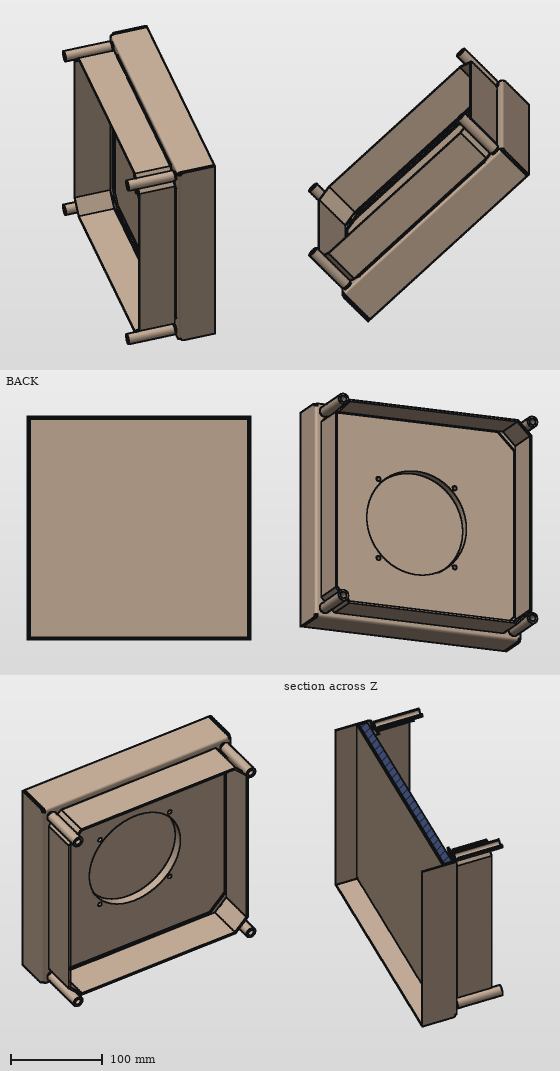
import cadquery as cq

case_size = 243.0
case_depth = 42.0
total_depth = 97.0
sheet = 2.0
bend_radius = 3.0

collar_size = 231.3
collar_corner = 16.0
collar_wall = 2.24
collar_gap = 2.0
collar_depth = 40.5

opening_size = 226.7
opening_corner = 19.0

board_front = 5.0
board_thickness = 10.5
port_diameter = 117.5
screw_diameter = 4.9
screw_pitch = 90.0

standoff_pitch = 223.0
standoff_diameter = 12.0
standoff_bore = 7.0
neck_diameter = 9.2

flat_size = case_size - 2 * bend_radius
standoff_length = total_depth - case_depth - collar_gap
corner_signs = [(sx, sz) for sx in (-1, 1) for sz in (-1, 1)]


def block(width, height, y_start, y_end):
    """Box centred on the Y axis, between two Y levels."""
    depth = y_end - y_start
    return cq.Workplane("XY").box(width, depth, height).translate((0, (y_start + y_end) / 2, 0))


def octagon(size, corner, y_start, y_end):
    """Square block with its four corners cut at 45 degrees."""
    return block(size, size, y_start, y_end).edges("|Y").chamfer(corner)


def rod(diameter, x, z, y_start, y_end):
    """Round rod along Y."""
    profile = cq.Workplane("XZ", origin=(x, y_start, z)).circle(diameter / 2)
    return profile.extrude(y_start - y_end)


def corner_points(pitch):
    """Four points of a square pattern, as (x, z)."""
    return [(sx * pitch / 2, sz * pitch / 2) for sx, sz in corner_signs]


def bent_channel():
    """Front sheet with its top and bottom flanges bent back, between the corner slits."""
    outside = block(flat_size, case_size, 0, case_depth)
    outside = outside.edges("|X and <Y").fillet(bend_radius)
    inside = block(flat_size, case_size - 2 * sheet, sheet, case_depth)
    inside = inside.edges("|X and <Y").fillet(bend_radius - sheet)
    return outside.cut(inside)


def corner_tabs():
    """Ends of the side flanges, reaching past the bends to the full height with rounded front corners."""
    tabs = block(case_size, case_size, bend_radius, case_depth)
    tabs = tabs.edges("|X and <Y").fillet(bend_radius)
    tabs = tabs.cut(block(case_size - 2 * sheet, case_size, bend_radius, case_depth))
    return tabs.cut(block(case_size, flat_size, bend_radius, case_depth))


def make_case():
    """Sheet enclosure with four bent flanges, a large opening and four standoff holes."""
    channel = bent_channel()
    side_channel = channel.rotate((0, 0, 0), (0, 1, 0), 90)
    case = channel.union(side_channel).union(corner_tabs())
    case = case.cut(octagon(opening_size, opening_corner, 0, sheet))
    for x, z in corner_points(standoff_pitch):
        case = case.cut(rod(neck_diameter, x, z, 0, sheet))
    return case


def make_collar():
    """Octagonal wall standing in front of the enclosure, open at both ends."""
    y_back = -collar_gap
    y_front = y_back - collar_depth
    inner_size = collar_size - 2 * collar_wall
    inner_corner = collar_corner - (2 - 2**0.5) * collar_wall
    collar = octagon(collar_size, collar_corner, y_front, y_back)
    return collar.cut(octagon(inner_size, inner_corner, y_front, y_back))


def make_board():
    """Thick board behind the opening, with a round port and four screw holes."""
    y_back = board_front + board_thickness
    board = block(flat_size, flat_size, board_front, y_back)
    board = board.cut(rod(port_diameter, 0, 0, board_front, y_back))
    for x, z in corner_points(screw_pitch):
        board = board.cut(rod(screw_diameter, x, z, board_front, y_back))
    return board


def make_back_panel():
    """Plain panel closing the port from behind."""
    y_front = board_front + board_thickness
    return block(flat_size, flat_size, y_front, y_front + sheet)


def make_standoff(x, z):
    """Bored post whose narrower neck sits in the front sheet."""
    y_front = -collar_gap - standoff_length
    post = rod(standoff_diameter, x, z, y_front, -collar_gap)
    post = post.union(rod(neck_diameter, x, z, -collar_gap, sheet))
    return post.cut(rod(standoff_bore, x, z, y_front, sheet))


case = make_case()
collar = make_collar()
board = make_board()
back_panel = make_back_panel()
standoffs = [make_standoff(x, z) for x, z in corner_points(standoff_pitch)]

result = cq.Compound.makeCompound(
    [case.val(), collar.val(), board.val(), back_panel.val()] + [post.val() for post in standoffs]
)